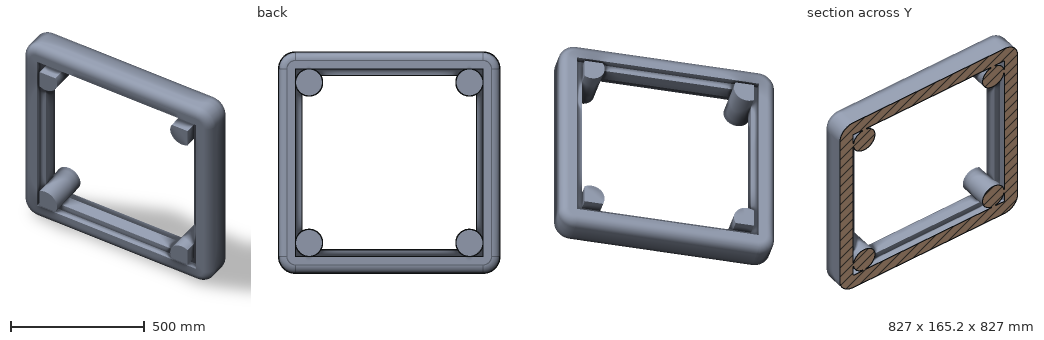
import cadquery as cq

opening_size = 700.0
bar_width = 63.5
frame_depth = 2 * bar_width
frame_size = opening_size + 2 * bar_width
corner_radius = bar_width
edge_radius = bar_width / 2
frame_front = -frame_depth / 2
frame_rear = frame_depth / 2

flange_height = 25.0
flange_window = opening_size - 2 * flange_height
flange_thickness = 50.8
flange_setback = 25.4
flange_front = frame_front + flange_setback
flange_rear = flange_front + flange_thickness

post_diameter = 101.6
post_length = 165.25
post_front_overhang = 20.25
post_front = frame_front - post_front_overhang
post_rear = post_front + post_length
post_offset = (opening_size - post_diameter) / 2


def square_prism(size, y_start, y_end):
    """Square block centred on the Y axis between two Y positions."""
    depth = y_end - y_start
    return cq.Workplane("XY").box(size, depth, size).translate((0, (y_start + y_end) / 2, 0))


def post_cylinders(y_start, y_end):
    """Four round bars along Y, one in each corner of the opening."""
    return (
        cq.Workplane("XZ", origin=(0, y_start, 0))
        .rect(2 * post_offset, 2 * post_offset, forConstruction=True)
        .vertices()
        .circle(post_diameter / 2)
        .extrude(-(y_end - y_start))
    )


def make_frame():
    """Square ring with rounded corners and rounded outer edges."""
    block = square_prism(frame_size, frame_front, frame_rear)
    block = block.edges("|Y").fillet(corner_radius)
    block = block.faces("<Y or >Y").edges().fillet(edge_radius)
    return block.cut(square_prism(opening_size, frame_front, frame_rear))


def make_flange():
    """Square ring lining the frame opening."""
    ring = square_prism(opening_size, flange_front, flange_rear)
    return ring.cut(square_prism(flange_window, flange_front, flange_rear))


def make_posts():
    """Posts trimmed flat to the flange window, and fully round behind the flange."""
    window = square_prism(flange_window, post_front, flange_rear)
    trimmed = post_cylinders(post_front, flange_rear).intersect(window)
    return trimmed.union(post_cylinders(flange_rear, post_rear))


result = make_frame().union(make_flange()).union(make_posts())